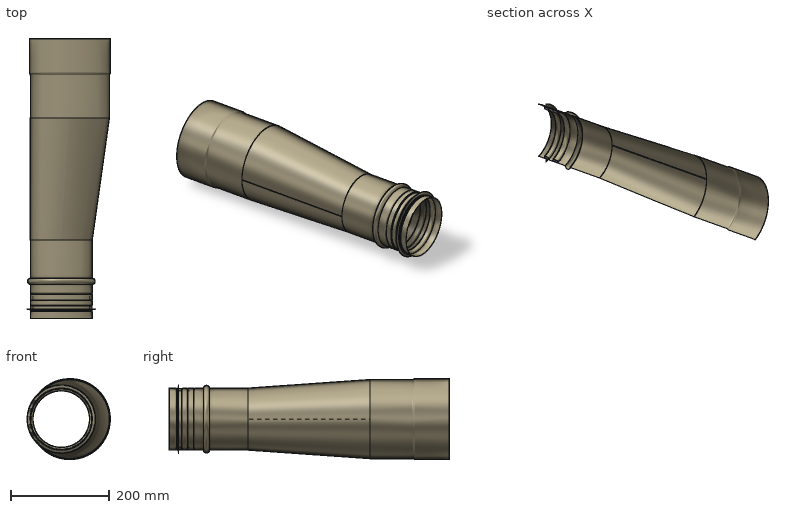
import cadquery as cq
import math

WALL = 0.5

SPIGOT_RADIUS = 126.6 / 2
SPIGOT_LENGTH = 160.0
BEAD_RADIUS = 138.0 / 2
BEAD_CENTRE_Y = 76.0
BEAD_HALF_WIDTH = 6.5

FRONT_GROOVE = (14.9, 26.5)
REAR_GROOVE = (37.1, 50.6)
GROOVE_BEND_RADIUS = 2.75
GROOVE_FLOOR_RADIUS = SPIGOT_RADIUS - 2 * GROOVE_BEND_RADIUS

FRONT_CROWN_RADIUS = 125.6 / 2
FRONT_SIDE_RADIUS = 124.0 / 2
REAR_CROWN_RADIUS = SPIGOT_RADIUS
REAR_SIDE_RADIUS = 122.0 / 2
CROWN_CHAMFER_RUN = 1.0

LIP_RADIUS = 139.6 / 2
LIP_TIP_Y = 19.2
LIP_ROOT = (17.9, 18.8)

REDUCER_LENGTH = 249.0
SLIT_WIDTH = 0.6

PIPE_RADIUS = 161.6 / 2
SOCKET_RADIUS = 165.2 / 2
TOTAL_LENGTH = 570.3
SOCKET_STEP_START_Y = 495.5
SOCKET_STEP_END_Y = 500.5
SOCKET_FIRST_BEND_SHARE = 0.7
PIPE_OFFSET = PIPE_RADIUS - SPIGOT_RADIUS
REDUCER_END_Y = SPIGOT_LENGTH + REDUCER_LENGTH


def revolve_about_y(outline, axis_x=0.0):
    """Turn a closed (radius, y) outline about the Y-parallel line at axis_x."""
    return outline.close().revolve(360, (0, 0, 0), (0, 1, 0)).translate((axis_x, 0, 0))


def add_groove(outline, span, inset):
    """Extend a skin outline along one groove whose walls are pairs of opposed quarter bends."""
    wall = SPIGOT_RADIUS - inset
    floor = GROOVE_FLOOR_RADIUS - inset
    shoulder = GROOVE_BEND_RADIUS - inset
    foot = GROOVE_BEND_RADIUS + inset
    start = span[0] - inset
    end = span[1] + inset
    middle = wall - shoulder
    return (
        outline.lineTo(wall, start - shoulder)
        .tangentArcPoint((middle, start), relative=False)
        .tangentArcPoint((floor, start + foot), relative=False)
        .lineTo(floor, end - foot)
        .tangentArcPoint((middle, end), relative=False)
        .tangentArcPoint((wall, end + shoulder), relative=False)
    )


def spigot_skin(inset):
    """Solid of revolution bounded by the spigot's outer skin moved inwards by inset."""
    wall = SPIGOT_RADIUS - inset
    bead_half = BEAD_HALF_WIDTH - inset
    outline = cq.Workplane("XY").moveTo(0, 0).lineTo(wall, 0)
    for span in (FRONT_GROOVE, REAR_GROOVE):
        outline = add_groove(outline, span, inset)
    outline = (
        outline.lineTo(wall, BEAD_CENTRE_Y - bead_half)
        .threePointArc((BEAD_RADIUS - inset, BEAD_CENTRE_Y), (wall, BEAD_CENTRE_Y + bead_half))
        .lineTo(wall, SPIGOT_LENGTH)
        .lineTo(0, SPIGOT_LENGTH)
    )
    return revolve_about_y(outline)


def make_spigot():
    return spigot_skin(0).cut(spigot_skin(WALL))


def make_gasket(span, side_radius, crown_radius, lip_points=()):
    """Ring filling a groove from wall to wall up to side_radius, then chamfered up to its crown."""
    start, end = span
    outline = cq.Workplane("XY").polyline(
        [
            (GROOVE_FLOOR_RADIUS, start),
            (side_radius, start),
            (crown_radius, start + CROWN_CHAMFER_RUN),
            *lip_points,
            (crown_radius, end - CROWN_CHAMFER_RUN),
            (side_radius, end),
            (GROOVE_FLOOR_RADIUS, end),
        ]
    )
    return revolve_about_y(outline).cut(spigot_skin(0))


def section_wire(radius, axis_x, y):
    """Circle normal to Y, split into a top -X quarter and the remaining three quarters."""

    def rim_point(degrees):
        angle = math.radians(degrees)
        return cq.Vector(axis_x + radius * math.cos(angle), y, radius * math.sin(angle))

    quarter = cq.Edge.makeThreePointArc(rim_point(180), rim_point(135), rim_point(90))
    rest = cq.Edge.makeThreePointArc(rim_point(90), rim_point(-45), rim_point(-180))
    return cq.Wire.assembleEdges([quarter, rest])


def reducer_skin(inset):
    """Straight loft from the spigot circle to the offset pipe circle, both shrunk by inset."""
    small = section_wire(SPIGOT_RADIUS - inset, 0, SPIGOT_LENGTH)
    big = section_wire(PIPE_RADIUS - inset, PIPE_OFFSET, REDUCER_END_Y)
    return cq.Workplane(obj=cq.Solid.makeLoft([small, big], True))


def make_reducer():
    """Rolled eccentric cone with an open lengthwise slit on its flush -X side."""
    slit = cq.Workplane("XY").box(4 * WALL, REDUCER_LENGTH, SLIT_WIDTH)
    slit = slit.translate((-SPIGOT_RADIUS, SPIGOT_LENGTH + REDUCER_LENGTH / 2, 0))
    return reducer_skin(0).cut(reducer_skin(WALL)).cut(slit)


def big_pipe_skin(inset):
    """Solid bounded by the pipe and socket skin moved inwards by inset, with an S-shaped step."""
    pipe = PIPE_RADIUS - inset
    socket = SOCKET_RADIUS - inset
    middle = (
        pipe + SOCKET_FIRST_BEND_SHARE * (socket - pipe),
        SOCKET_STEP_START_Y + SOCKET_FIRST_BEND_SHARE * (SOCKET_STEP_END_Y - SOCKET_STEP_START_Y),
    )
    outline = (
        cq.Workplane("XY")
        .moveTo(0, REDUCER_END_Y)
        .lineTo(pipe, REDUCER_END_Y)
        .lineTo(pipe, SOCKET_STEP_START_Y)
        .tangentArcPoint(middle, relative=False)
        .tangentArcPoint((socket, SOCKET_STEP_END_Y), relative=False)
        .lineTo(socket, TOTAL_LENGTH)
        .lineTo(0, TOTAL_LENGTH)
    )
    return revolve_about_y(outline, PIPE_OFFSET)


def make_big_pipe():
    return big_pipe_skin(0).cut(big_pipe_skin(WALL))


spigot = make_spigot()
lip = (
    (FRONT_CROWN_RADIUS, LIP_ROOT[0]),
    (LIP_RADIUS, LIP_TIP_Y),
    (FRONT_CROWN_RADIUS, LIP_ROOT[1]),
)
front_gasket = make_gasket(FRONT_GROOVE, FRONT_SIDE_RADIUS, FRONT_CROWN_RADIUS, lip)
rear_gasket = make_gasket(REAR_GROOVE, REAR_SIDE_RADIUS, REAR_CROWN_RADIUS)
reducer = make_reducer()
big_pipe = make_big_pipe()
result = cq.Compound.makeCompound(
    [spigot.val(), front_gasket.val(), rear_gasket.val(), reducer.val(), big_pipe.val()]
)